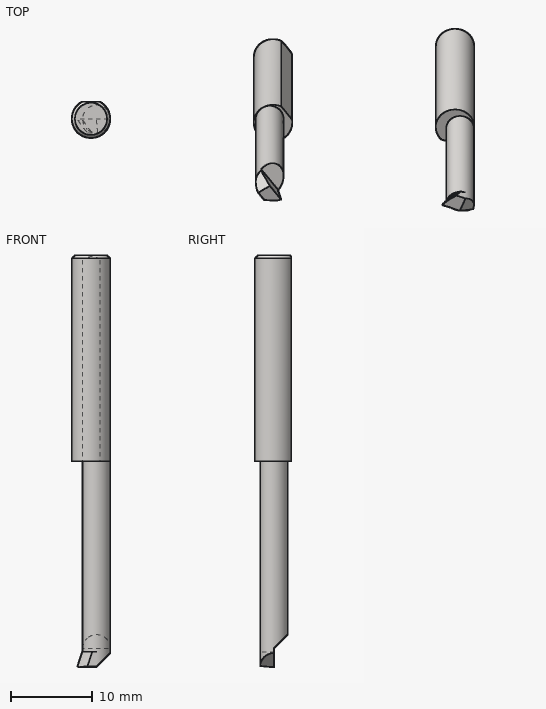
import cadquery as cq
import math


shank_diameter = 4.76
shank_length = 25.4
shank_radius = shank_diameter / 2
flat_offset = 2.13
shank_chamfer = 0.4

reach = 25.39
neck_radius = 1.72
neck_center_x = shank_radius - neck_radius
tip_z = -reach

tooth_height = 1.93
tooth_top_z = tip_z + tooth_height
rake_plane_y = 0.0
rake_runout_z = tip_z + 2.35
rake_runout_angle = 45.0
heel_angle = 45.0
heel_start_z = tip_z + 1.77

tooth_edge_x = -1.1
tooth_lean = 18.0
relief_end_x = 0.15
relief_bulge = 0.06
end_slope_x = 0.6
end_slope_y = 5.0
nose_x = -1.52
nose_angle = 45.0

margin = 5.0


def make_shank():
    shank = cq.Workplane("XY").circle(shank_radius).extrude(shank_length)
    shank = shank.faces(">Z").chamfer(shank_chamfer)
    beyond_flat = (
        cq.Workplane("XY")
        .box(shank_diameter, margin, shank_length, centered=(True, False, False))
        .translate((0, flat_offset, 0))
    )
    return shank.cut(beyond_flat)


def make_neck():
    return cq.Workplane("XY").center(neck_center_x, 0).circle(neck_radius).extrude(-reach)


def rake_clearance():
    """Body on the +Y side of the rake plane, with a sloped run-out at its upper end."""
    far_y = rake_plane_y + margin
    runout_rise = margin * math.tan(math.radians(rake_runout_angle))
    return (
        cq.Workplane("YZ")
        .moveTo(rake_plane_y, tip_z - margin)
        .lineTo(rake_plane_y, rake_runout_z)
        .lineTo(far_y, rake_runout_z + runout_rise)
        .lineTo(far_y, tip_z - margin)
        .close()
        .extrude(margin, both=True)
    )


def heel_clearance():
    """Wedge that bevels the +X side of the tip."""
    drop = margin * math.tan(math.radians(heel_angle))
    return (
        cq.Workplane("XZ")
        .moveTo(shank_radius, heel_start_z)
        .lineTo(shank_radius - margin, heel_start_z - drop)
        .lineTo(shank_radius, heel_start_z - drop)
        .close()
        .extrude(margin, both=True)
    )


def beside_tooth():
    """Body that clears the neck on the -X side of its axis, below the tooth top."""
    return cq.Workplane("XY").box(
        margin, 2 * margin, margin, centered=(False, True, False)
    ).translate((neck_center_x - margin, 0, tooth_top_z - margin))


def make_tooth():
    """Leaning tooth with a curved relief and a flat tangent to the neck."""
    drop = tooth_height + margin
    lean = math.tan(math.radians(tooth_lean))
    back_y = -neck_radius
    chord_x = relief_end_x - tooth_edge_x
    chord_y = back_y - rake_plane_y
    chord = math.hypot(chord_x, chord_y)
    relief_mid = (
        (tooth_edge_x + relief_end_x) / 2 + relief_bulge * chord_y / chord,
        (rake_plane_y + back_y) / 2 - relief_bulge * chord_x / chord,
    )
    section = (
        cq.Workplane("XY", origin=(0, 0, tooth_top_z))
        .moveTo(tooth_edge_x, rake_plane_y)
        .threePointArc(relief_mid, (relief_end_x, back_y))
        .lineTo(neck_center_x + margin, back_y)
        .lineTo(neck_center_x + margin, rake_plane_y)
        .close()
    )
    leaning = cq.Solid.extrudeLinear(section.val(), [], cq.Vector(-lean * drop, 0, -drop))
    return cq.Workplane(leaning).intersect(beside_tooth())


def end_clearance():
    """Body below the tooth: end face rising from the nose along X and behind the edge."""
    below = cq.Workplane("XY").box(
        2 * margin, 2 * margin, margin, centered=(True, True, False)
    ).translate((0, 0, -margin))
    sloped = below.rotate((0, 0, 0), (1, 0, 0), -end_slope_y)
    end_face = sloped.rotate((0, 0, 0), (0, 1, 0), -end_slope_x)
    nose_bevel = sloped.rotate((0, 0, 0), (0, 1, 0), nose_angle)
    return end_face.union(nose_bevel).translate((nose_x, rake_plane_y, tip_z))


neck = make_neck().cut(beside_tooth())
tip = neck.union(make_tooth()).cut(rake_clearance()).cut(heel_clearance()).cut(end_clearance())
result = make_shank().union(tip)